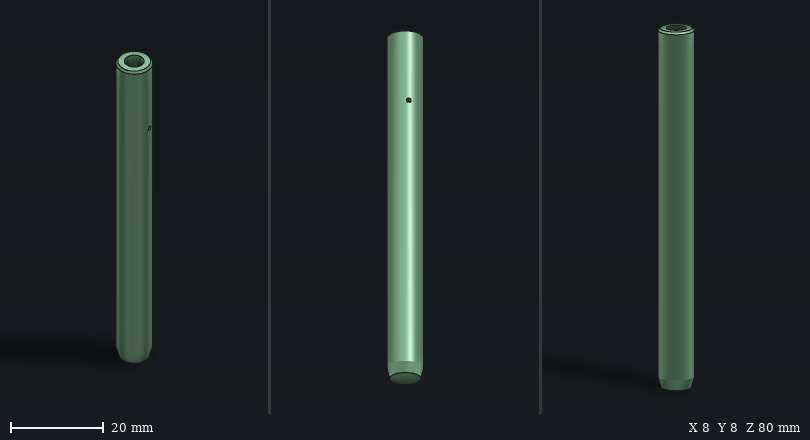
import cadquery as cq
import math

length = 80.0
radius = 4.0

top_bevel_width = 0.5
top_bevel_height = 0.5

lead_in_height = 2.4
lead_in_angle = 15.0
lead_in_inset = lead_in_height * math.tan(math.radians(lead_in_angle))

hole_radius = 2.1
hole_depth = 16.0
drill_point_angle = 120.0
drill_point_depth = hole_radius / math.tan(math.radians(drill_point_angle / 2))

vent_diameter = 1.0
vent_rise = 0.12

top = length / 2
bottom = -length / 2
hole_floor = top - hole_depth

half_section = (
    cq.Workplane("XZ")
    .moveTo(0, bottom)
    .lineTo(radius - lead_in_inset, bottom)
    .lineTo(radius, bottom + lead_in_height)
    .lineTo(radius, top - top_bevel_height)
    .lineTo(radius - top_bevel_width, top)
    .lineTo(hole_radius, top)
    .lineTo(hole_radius, hole_floor)
    .lineTo(0, hole_floor - drill_point_depth)
    .close()
)

pin = half_section.revolve(360, (0, 0, 0), (0, 1, 0))

vent_height = hole_floor - drill_point_depth + vent_rise + vent_diameter / 2
vent = (
    cq.Workplane("YZ")
    .center(0, vent_height)
    .circle(vent_diameter / 2)
    .extrude(radius)
)

result = pin.cut(vent)